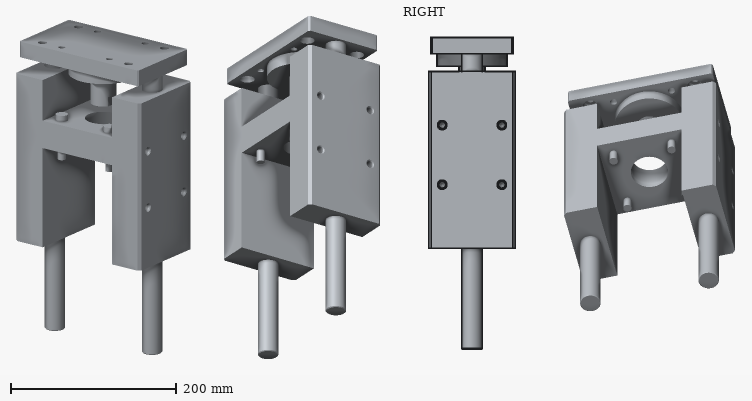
import cadquery as cq
import math

housing_height = 214.0
plate_gap = 21.0
plate_thickness = 20.0
rod_reach_below = 122.0

housing_length = 189.0
housing_width = 105.0
housing_chamfer = 3.5
leg_spacing = 105.0
crossbar_thickness = 35.0
crossbar_depth = 52.0
crossbar_top = housing_height - crossbar_depth
crossbar_bottom = crossbar_top - crossbar_thickness
crossbar_bore = 45.0

hole_pitch = 72.0
screw_head_diameter = 15.0
screw_head_height = 7.5
screw_shank_diameter = 10.0
screw_shank_reach = 15.0

side_hole_core = 8.5
side_hole_mouth = 11.0
side_hole_depth = 20.0
drill_tip_angle = 118.0
side_hole_upper_z = 149.0

plate_length = 180.0
plate_width = 100.0
plate_chamfer = 2.0
plate_bottom = housing_height + plate_gap
rod_diameter = 25.0
rod_spacing = 147.0
rod_chamfer = 1.0
outer_hole_spacing = 130.0
outer_hole_diameter = 11.0
outer_hole_counterbore = 18.0
outer_hole_counterbore_depth = 16.0
inner_hole_diameter = 8.5
flange_diameter = 85.0
flange_thickness = 15.0
boss_diameter = 32.0
boss_length = 38.0
boss_flat_width = 27.0
boss_flat_length = 12.0


def cylinder(diameter, bottom, top, points):
    """Upright cylinders of one diameter between two heights, one at each (x, y) point."""
    return (
        cq.Workplane("XY", origin=(0, 0, bottom))
        .pushPoints(points)
        .circle(diameter / 2)
        .extrude(top - bottom)
    )


def rectangle_points(spacing_x, spacing_y):
    """The four corners of a rectangle centred on the Z axis."""
    return [(x * spacing_x / 2, y * spacing_y / 2) for x in (-1, 1) for y in (-1, 1)]


centre = [(0, 0)]
rod_points = [(-rod_spacing / 2, 0), (rod_spacing / 2, 0)]
screw_points = rectangle_points(hole_pitch, hole_pitch)


def side_hole(side, y, z):
    """Countersunk blind hole with a conical end, entering the leg face on one X side (-1 or 1)."""
    core_radius = side_hole_core / 2
    mouth_radius = side_hole_mouth / 2
    mouth_depth = mouth_radius - core_radius
    tip_length = core_radius / math.tan(math.radians(drill_tip_angle / 2))
    profile = (
        cq.Workplane("XY")
        .moveTo(0, 0)
        .lineTo(0, mouth_radius)
        .lineTo(mouth_depth, core_radius)
        .lineTo(side_hole_depth, core_radius)
        .lineTo(side_hole_depth + tip_length, 0)
        .close()
    )
    hole = profile.revolve(360, (0, 0, 0), (1, 0, 0))
    if side > 0:
        hole = hole.mirror("YZ")
    return hole.translate((side * housing_length / 2, y, z))


def make_housing():
    """H-shaped housing with its crossbar screws, bored for the two rods."""
    body = (
        cq.Workplane("XY")
        .box(housing_length, housing_width, housing_height, centered=(True, True, False))
        .edges("|Z")
        .chamfer(housing_chamfer)
    )
    upper_opening = cq.Workplane("XY", origin=(0, 0, crossbar_top)).box(
        leg_spacing, housing_width, crossbar_depth, centered=(True, True, False)
    )
    lower_opening = cq.Workplane("XY").box(
        leg_spacing, housing_width, crossbar_bottom, centered=(True, True, False)
    )
    body = body.cut(upper_opening).cut(lower_opening)
    body = body.cut(cylinder(crossbar_bore, crossbar_bottom, crossbar_top, centre))
    body = body.cut(cylinder(rod_diameter, 0, housing_height, rod_points))

    for side in (-1, 1):
        for y in (-hole_pitch / 2, hole_pitch / 2):
            for z in (side_hole_upper_z - hole_pitch, side_hole_upper_z):
                body = body.cut(side_hole(side, y, z))

    screw_heads = cylinder(
        screw_head_diameter, crossbar_top, crossbar_top + screw_head_height, screw_points
    )
    screw_shanks = cylinder(
        screw_shank_diameter, crossbar_bottom - screw_shank_reach, crossbar_bottom, screw_points
    )
    return body.union(screw_heads).union(screw_shanks)


def make_coupling():
    """Flange and round boss under the plate, the boss ending in two flats that face along X."""
    flange_bottom = plate_bottom - flange_thickness
    boss_bottom = flange_bottom - boss_length
    flange = cylinder(flange_diameter, flange_bottom, plate_bottom, centre)
    boss = cylinder(boss_diameter, boss_bottom, flange_bottom, centre)
    flat_end = cq.Workplane("XY", origin=(0, 0, boss_bottom)).box(
        boss_flat_width, boss_diameter, boss_flat_length, centered=(True, True, False)
    )
    full_end = cylinder(boss_diameter, boss_bottom, boss_bottom + boss_flat_length, centre)
    return flange.union(boss.cut(full_end.cut(flat_end)))


def make_slider():
    """Drilled plate with two guide rods and the coupling hanging below it."""
    plate = (
        cq.Workplane("XY", origin=(0, 0, plate_bottom))
        .box(plate_length, plate_width, plate_thickness, centered=(True, True, False))
        .edges("|Z")
        .chamfer(plate_chamfer)
    )
    plate_top = plate_bottom + plate_thickness
    outer_points = rectangle_points(outer_hole_spacing, hole_pitch)
    counterbore_top = plate_bottom + outer_hole_counterbore_depth
    plate = plate.cut(cylinder(outer_hole_diameter, plate_bottom, plate_top, outer_points))
    plate = plate.cut(cylinder(outer_hole_counterbore, plate_bottom, counterbore_top, outer_points))
    plate = plate.cut(cylinder(inner_hole_diameter, plate_bottom, plate_top, screw_points))

    rods = cylinder(rod_diameter, -rod_reach_below, plate_bottom, rod_points)
    rods = rods.faces("<Z").edges().chamfer(rod_chamfer)
    return plate.union(rods).union(make_coupling())


housing = make_housing()
slider = make_slider()

result = cq.Compound.makeCompound([housing.val(), slider.val()])